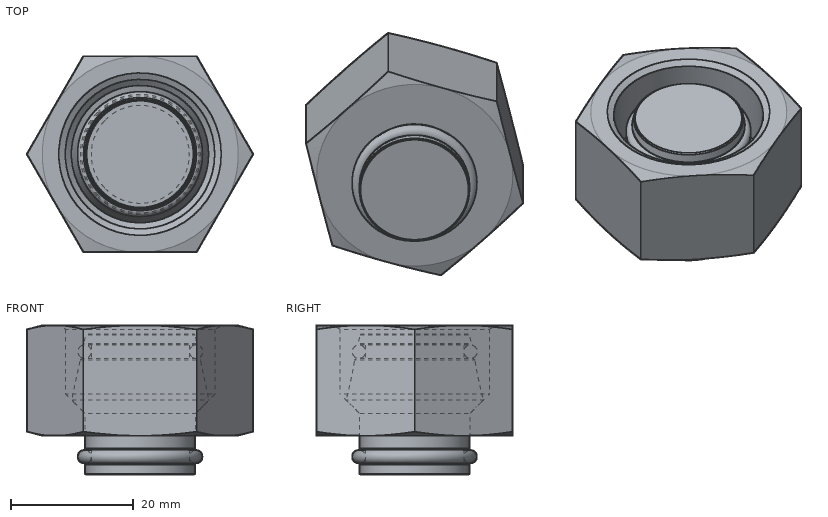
import cadquery as cq
import math


NUT_HEIGHT = 18.0
HEX_SIDES = 6
ACROSS_FLATS = 32.0
ACROSS_CORNERS = ACROSS_FLATS / math.cos(math.pi / HEX_SIDES)
CORNER_BEVEL_ANGLE = 15.0
BEVEL_CLEARANCE = 1.0
BORE_RADIUS = 24.38 / 2
MOUTH_RADIUS = 26.5 / 2
MOUTH_ANGLE = 30.0

TAIL_RADIUS = 18.0 / 2
PLUG_BOTTOM = -6.39
PLUG_TOP = 16.65
SHOULDER_RADIUS = 11.2
SHOULDER_ANGLE = 45.0
NOSE_HALF_ANGLE = 12.0
NOSE_TIP_RADIUS = 8.9
EDGE_BREAK = 0.2

RING_SECTION = 2.2
GROOVE_FLOOR_RADIUS = 16.0 / 2
GROOVE_WIDTH = 2.3
TAIL_GROOVE_Z = -3.42
NOSE_GROOVE_Z = PLUG_TOP - 2.9

nose_slope = math.tan(math.radians(NOSE_HALF_ANGLE))
shoulder_slope = math.tan(math.radians(SHOULDER_ANGLE))
shoulder_z = PLUG_TOP - (SHOULDER_RADIUS - NOSE_TIP_RADIUS) / nose_slope
seat_bottom_z = shoulder_z - (SHOULDER_RADIUS - TAIL_RADIUS) * shoulder_slope
seat_top_z = seat_bottom_z + (BORE_RADIUS - TAIL_RADIUS) * shoulder_slope


def nose_radius(z):
    """Radius of the 24 degree cone at height z."""
    return NOSE_TIP_RADIUS + (PLUG_TOP - z) * nose_slope


def revolve_profile(points):
    """Turn a closed (radius, z) outline about the Z axis."""
    return cq.Workplane("XZ").polyline(points).close().revolve(360, (0, 0, 0), (0, 1, 0))


def make_nut():
    hexagon = cq.Workplane("XY").polygon(HEX_SIDES, ACROSS_CORNERS).extrude(NUT_HEIGHT)

    flat_radius = ACROSS_FLATS / 2
    corner_radius = ACROSS_CORNERS / 2
    outer_radius = corner_radius + BEVEL_CLEARANCE
    drop = (outer_radius - flat_radius) * math.tan(math.radians(CORNER_BEVEL_ANGLE))
    bevel_envelope = revolve_profile([
        (0, 0),
        (flat_radius, 0),
        (outer_radius, drop),
        (outer_radius, NUT_HEIGHT - drop),
        (flat_radius, NUT_HEIGHT),
        (0, NUT_HEIGHT),
    ])

    mouth_depth = (MOUTH_RADIUS - BORE_RADIUS) * math.tan(math.radians(MOUTH_ANGLE))
    bore = revolve_profile([
        (0, 0),
        (TAIL_RADIUS, 0),
        (TAIL_RADIUS, seat_bottom_z),
        (BORE_RADIUS, seat_top_z),
        (BORE_RADIUS, NUT_HEIGHT - mouth_depth),
        (MOUTH_RADIUS, NUT_HEIGHT),
        (0, NUT_HEIGHT),
    ])
    return hexagon.intersect(bevel_envelope).cut(bore)


def groove_points(mid_z, surface_radius):
    """Groove outline from bottom to top, with both rims broken."""
    low = mid_z - GROOVE_WIDTH / 2
    high = mid_z + GROOVE_WIDTH / 2
    return [
        (surface_radius(low - EDGE_BREAK), low - EDGE_BREAK),
        (surface_radius(low) - EDGE_BREAK, low),
        (GROOVE_FLOOR_RADIUS, low),
        (GROOVE_FLOOR_RADIUS, high),
        (surface_radius(high) - EDGE_BREAK, high),
        (surface_radius(high + EDGE_BREAK), high + EDGE_BREAK),
    ]


def make_plug():
    def tail_radius(z):
        return TAIL_RADIUS

    return revolve_profile([
        (0, PLUG_BOTTOM),
        (TAIL_RADIUS - EDGE_BREAK, PLUG_BOTTOM),
        (TAIL_RADIUS, PLUG_BOTTOM + EDGE_BREAK),
        *groove_points(TAIL_GROOVE_Z, tail_radius),
        (TAIL_RADIUS, seat_bottom_z),
        (SHOULDER_RADIUS, shoulder_z),
        *groove_points(NOSE_GROOVE_Z, nose_radius),
        (nose_radius(PLUG_TOP - EDGE_BREAK), PLUG_TOP - EDGE_BREAK),
        (NOSE_TIP_RADIUS - EDGE_BREAK, PLUG_TOP),
        (0, PLUG_TOP),
    ])


def make_o_ring(mid_z):
    """O-ring resting on the groove floor."""
    section_radius = RING_SECTION / 2
    ring_radius = GROOVE_FLOOR_RADIUS + section_radius
    return (
        cq.Workplane("XZ")
        .center(ring_radius, mid_z)
        .circle(section_radius)
        .revolve(360, (-ring_radius, 0, 0), (-ring_radius, 1, 0))
    )


nut = make_nut()
plug = make_plug()
o_rings = [make_o_ring(z) for z in (TAIL_GROOVE_Z, NOSE_GROOVE_Z)]

result = cq.Compound.makeCompound([nut.val(), plug.val(), *[ring.val() for ring in o_rings]])